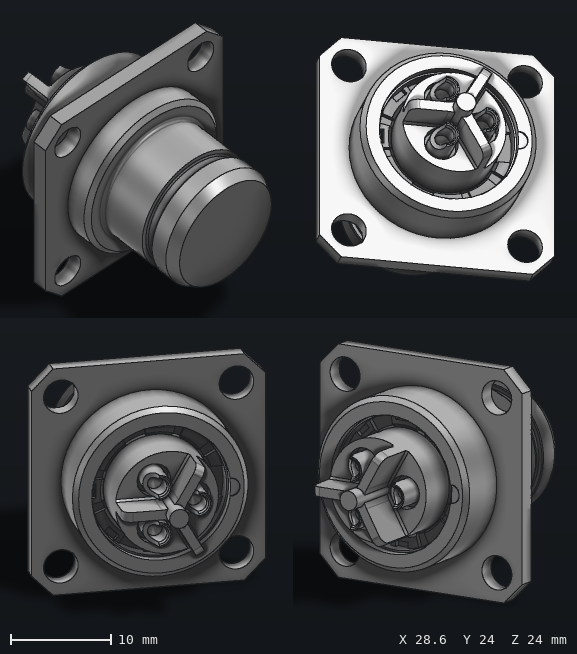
import cadquery as cq
import math


FLANGE_SIDE = 24.0
FLANGE_START = 13.35
FLANGE_THICKNESS = 1.7
FLANGE_CORNER = 2.2
HOLE_SPACING = 18.0
HOLE_DIAMETER = 3.5

TOTAL_LENGTH = 28.55
BODY_RADIUS = 9.0
BODY_START = 7.85
BODY_END = 18.0
BODY_CHAMFER = 0.5
SLEEVE_RADIUS = 6.9
SLEEVE_ROOT_FILLET = 0.43
GROOVE_START = 23.78
GROOVE_END = 25.12
GROOVE_RADIUS = 6.25
GROOVE_ROOT_CHAMFER = 0.17
GROOVE_LIP_CHAMFER = 0.1
TIP_CHAMFER_LENGTH = 1.28
TIP_CHAMFER_DEPTH = 0.69

BORE_RADIUS = 7.1
BORE_STEP = 8.8
INNER_BORE_RADIUS = 6.9
BORE_FLOOR = 10.4
KEY_MARK_RADIUS = 0.95
KEY_MARK_DEPTH = 0.15

TOOTH_FACE = 9.85
TOOTH_INNER_RADIUS = 5.42
TOOTH_BEVEL = 0.35
LOW_TOOTH_BEVEL = 0.25
TOOTH_SPANS = [(0, 28.6), (73, 101), (124, 159)]
EARTH_SLOT_WIDTH = 3.3
LOW_TOOTH_FACE = 10.1
LOW_TOOTH_SPAN = (38, 64)
KEY_TOOTH_SPAN = (168.3, 191.7)
NOTCH_ANGLES = [90, 135, 180, 225, 270]
NOTCH_INNER_RADIUS = 6.22
NOTCH_WIDTH = 1.48
PEG_RADIUS = 0.63
PEG_INNER_RADIUS = 6.45

INSERT_RADIUS = 5.4
INSERT_FACE = 5.0
EARTH_FACE = 5.95
INSERT_ROOT_FLARE = 0.2

PIN_RADIUS = 1.0
UPPER_BLADE_ANGLE = 120
LOWER_BLADE_ANGLE = 240
BLADE_START = 1.5
BLADE_HALF_THICKNESS = 0.5
BLADE_CORNER_FILLET = 0.97
BLADE_ROOT_REACH = 1.43
BLADE_ROOT_ANGLE = 37
FOOT_SIZE = 0.23

CONTACT_CIRCLE_RADIUS = 2.88
CONTACT_RADIUS = 1.3
CONTACT_START = 2.6
EARTH_CONTACT_START = 3.7
CUP_MOUTH_RADIUS = 1.17
CUP_TAPER_RADIUS = 1.0
CUP_MOUTH_DEPTH = 0.09
CUP_TAPER_DEPTH = 0.37
CUP_RADIUS = 0.85
CUP_DEPTH = 2.28
CUP_POINT_DEPTH = 0.49
SCOOP_RADIUS = 1.7
CLEARANCE_RADIUS = 1.7
CLEARANCE_DEPTH = 1.15


def cylinder(start, end, radius, y=0.0, z=0.0):
    """Cylinder along X, centred on (y, z)."""
    return cq.Workplane("YZ", origin=(start, y, z)).circle(radius).extrude(end - start)


def polar(radius, degrees):
    """Point at an angle about the X axis, measured from +Y towards +Z."""
    angle = math.radians(degrees)
    return radius * math.cos(angle), radius * math.sin(angle)


def about_axis(shape, degrees):
    return shape.rotate((0, 0, 0), (1, 0, 0), degrees)


def make_shell():
    profile = (
        cq.Workplane("XY")
        .moveTo(BODY_START, 0)
        .lineTo(BODY_START, BODY_RADIUS - BODY_CHAMFER)
        .lineTo(BODY_START + BODY_CHAMFER, BODY_RADIUS)
        .lineTo(BODY_END - BODY_CHAMFER, BODY_RADIUS)
        .lineTo(BODY_END, BODY_RADIUS - BODY_CHAMFER)
        .lineTo(BODY_END, SLEEVE_RADIUS + SLEEVE_ROOT_FILLET)
        .radiusArc((BODY_END + SLEEVE_ROOT_FILLET, SLEEVE_RADIUS), -SLEEVE_ROOT_FILLET)
        .lineTo(GROOVE_START, SLEEVE_RADIUS)
        .lineTo(GROOVE_START, GROOVE_RADIUS + GROOVE_ROOT_CHAMFER)
        .lineTo(GROOVE_START + GROOVE_ROOT_CHAMFER, GROOVE_RADIUS)
        .lineTo(GROOVE_END - GROOVE_ROOT_CHAMFER, GROOVE_RADIUS)
        .lineTo(GROOVE_END, GROOVE_RADIUS + GROOVE_ROOT_CHAMFER)
        .lineTo(GROOVE_END, SLEEVE_RADIUS - GROOVE_LIP_CHAMFER)
        .lineTo(GROOVE_END + GROOVE_LIP_CHAMFER, SLEEVE_RADIUS)
        .lineTo(TOTAL_LENGTH - TIP_CHAMFER_LENGTH, SLEEVE_RADIUS)
        .lineTo(TOTAL_LENGTH, SLEEVE_RADIUS - TIP_CHAMFER_DEPTH)
        .lineTo(TOTAL_LENGTH, 0)
        .close()
    )
    shell = profile.revolve(360, (0, 0, 0), (1, 0, 0))
    bore = cylinder(BODY_START, BORE_STEP, BORE_RADIUS)
    inner_bore = cylinder(BORE_STEP, BORE_FLOOR, INNER_BORE_RADIUS)
    key_mark = cylinder(BODY_START, BODY_START + KEY_MARK_DEPTH, KEY_MARK_RADIUS, y=-BORE_RADIUS)
    return shell.cut(bore).cut(inner_bore).cut(key_mark)


def make_flange():
    plate = (
        cq.Workplane("YZ", origin=(FLANGE_START, 0, 0))
        .rect(FLANGE_SIDE, FLANGE_SIDE)
        .extrude(FLANGE_THICKNESS)
        .edges("|X")
        .chamfer(FLANGE_CORNER)
    )
    holes = (
        cq.Workplane("YZ", origin=(FLANGE_START, 0, 0))
        .rect(HOLE_SPACING, HOLE_SPACING, forConstruction=True)
        .vertices()
        .circle(HOLE_DIAMETER / 2)
        .extrude(FLANGE_THICKNESS)
    )
    return plate.cut(holes)


def make_tooth(face, bevel, first, last):
    """Ring segment between two angles, bevelled on the inner edge of its free end."""
    profile = (
        cq.Workplane("XY")
        .moveTo(face, INNER_BORE_RADIUS)
        .lineTo(face, TOOTH_INNER_RADIUS + bevel)
        .lineTo(face + bevel, TOOTH_INNER_RADIUS)
        .lineTo(BORE_FLOOR, TOOTH_INNER_RADIUS)
        .lineTo(BORE_FLOOR, INNER_BORE_RADIUS)
        .close()
    )
    return about_axis(profile.revolve(last - first, (0, 0, 0), (1, 0, 0)), first)


def radial_box(inner, outer, width):
    """Box along +Y as tall as the teeth, for cutting through them."""
    box = cq.Workplane("XY").box(BORE_FLOOR - TOOTH_FACE, outer - inner, width, centered=(False, False, True))
    return box.translate((TOOTH_FACE, inner, 0))


def make_teeth():
    teeth = make_tooth(TOOTH_FACE, TOOTH_BEVEL, *KEY_TOOTH_SPAN)
    sides = [(TOOTH_FACE, TOOTH_BEVEL, *span) for span in TOOTH_SPANS]
    sides.append((LOW_TOOTH_FACE, LOW_TOOTH_BEVEL, *LOW_TOOTH_SPAN))
    for face, bevel, first, last in sides:
        teeth = teeth.union(make_tooth(face, bevel, first, last))
        teeth = teeth.union(make_tooth(face, bevel, 360 - last, 360 - first))
    notch = radial_box(NOTCH_INNER_RADIUS, INNER_BORE_RADIUS, NOTCH_WIDTH)
    teeth = teeth.cut(radial_box(0, INNER_BORE_RADIUS, EARTH_SLOT_WIDTH))
    for angle in NOTCH_ANGLES:
        teeth = teeth.cut(about_axis(notch, angle))
    return about_axis(teeth, 180)


def make_peg():
    """Round peg lying along Y in the notch on the +Y side."""
    peg = cq.Workplane("XZ", origin=(TOOTH_FACE + PEG_RADIUS, 0, 0)).circle(PEG_RADIUS)
    return peg.extrude(-BORE_RADIUS).intersect(radial_box(PEG_INNER_RADIUS, BORE_RADIUS, NOTCH_WIDTH))


def make_insert():
    insert = (
        cq.Workplane("XY")
        .moveTo(INSERT_FACE, 0)
        .lineTo(INSERT_FACE, INSERT_RADIUS)
        .lineTo(BORE_FLOOR - INSERT_ROOT_FLARE, INSERT_RADIUS)
        .lineTo(BORE_FLOOR, INSERT_RADIUS + INSERT_ROOT_FLARE)
        .lineTo(BORE_FLOOR, 0)
        .close()
        .revolve(360, (0, 0, 0), (1, 0, 0))
    )
    reach = 2 * INSERT_RADIUS
    earth_sector = (
        cq.Workplane("YZ", origin=(INSERT_FACE, 0, 0))
        .polyline([(0, 0), polar(reach, UPPER_BLADE_ANGLE), (-reach, 0), polar(reach, LOWER_BLADE_ANGLE)])
        .close()
        .extrude(EARTH_FACE - INSERT_FACE)
    )
    return insert.cut(earth_sector)


def make_blade():
    """Blade pointing along +Y, its sides curving out to meet the pin."""
    half = BLADE_HALF_THICKNESS
    root_y, root_z = polar(PIN_RADIUS, BLADE_ROOT_ANGLE)
    run = BLADE_ROOT_REACH - root_y
    rise = root_z - half
    root_radius = (run**2 + rise**2) / (2 * rise)
    return (
        cq.Workplane("YZ", origin=(BLADE_START, 0, 0))
        .moveTo(0, -root_z)
        .lineTo(root_y, -root_z)
        .radiusArc((BLADE_ROOT_REACH, -half), root_radius)
        .lineTo(INSERT_RADIUS, -half)
        .lineTo(INSERT_RADIUS, half)
        .lineTo(BLADE_ROOT_REACH, half)
        .radiusArc((root_y, root_z), root_radius)
        .lineTo(0, root_z)
        .close()
        .extrude(BORE_FLOOR - BLADE_START)
    )


def make_foot(low_face, high_face):
    """Sloped foot of a blade along +Y; the two sides may stand on faces of different depth."""
    half = BLADE_HALF_THICKNESS
    return (
        cq.Workplane("XZ")
        .moveTo(low_face - FOOT_SIZE, 0)
        .lineTo(low_face - FOOT_SIZE, -half)
        .lineTo(low_face, -half - FOOT_SIZE)
        .lineTo(BORE_FLOOR, -half - FOOT_SIZE)
        .lineTo(BORE_FLOOR, half + FOOT_SIZE)
        .lineTo(high_face, half + FOOT_SIZE)
        .lineTo(high_face - FOOT_SIZE, half)
        .lineTo(high_face - FOOT_SIZE, 0)
        .close()
        .extrude(-INSERT_RADIUS)
    )


def make_blades():
    blade = make_blade()
    envelope = cylinder(BLADE_START, BORE_FLOOR, INSERT_RADIUS)
    envelope = envelope.faces("<X").edges().fillet(BLADE_CORNER_FILLET)
    blades = cylinder(BLADE_START, BORE_FLOOR, PIN_RADIUS)
    for angle, low_face, high_face in [
        (0, INSERT_FACE, INSERT_FACE),
        (UPPER_BLADE_ANGLE, INSERT_FACE, EARTH_FACE),
        (LOWER_BLADE_ANGLE, EARTH_FACE, INSERT_FACE),
    ]:
        blades = blades.union(about_axis(blade, angle))
        blades = blades.union(about_axis(make_foot(low_face, high_face), angle))
    return blades.intersect(envelope).union(cylinder(0, BORE_FLOOR, PIN_RADIUS))


def make_contact(start, y, z):
    """Solder cup with a flared blind bore and a scoop that opens its +Y side."""
    contact = cylinder(start, BORE_FLOOR, CONTACT_RADIUS, y, z)
    cup = (
        cq.Workplane("XY")
        .polyline([
            (0, 0),
            (0, CUP_MOUTH_RADIUS),
            (CUP_MOUTH_DEPTH, CUP_TAPER_RADIUS),
            (CUP_TAPER_DEPTH, CUP_RADIUS),
            (CUP_DEPTH, CUP_RADIUS),
            (CUP_DEPTH + CUP_POINT_DEPTH, 0),
        ])
        .close()
        .revolve(360, (0, 0, 0), (1, 0, 0))
        .translate((start, y, z))
    )
    scoop = (
        cq.Workplane("XY", origin=(start, y + SCOOP_RADIUS, z))
        .circle(SCOOP_RADIUS)
        .extrude(CONTACT_RADIUS, both=True)
    )
    return contact.cut(cup).cut(scoop)


def add_contacts(shape):
    for angle, face, start in [
        (60, INSERT_FACE, CONTACT_START),
        (180, EARTH_FACE, EARTH_CONTACT_START),
        (300, INSERT_FACE, CONTACT_START),
    ]:
        y, z = polar(CONTACT_CIRCLE_RADIUS, angle)
        shape = shape.cut(cylinder(face, face + CLEARANCE_DEPTH, CLEARANCE_RADIUS, y, z))
        shape = shape.union(make_contact(start, y, z))
    return shape


insert = add_contacts(make_insert().union(make_blades()))
result = make_shell().union(make_flange()).union(make_teeth()).union(make_peg()).union(insert)